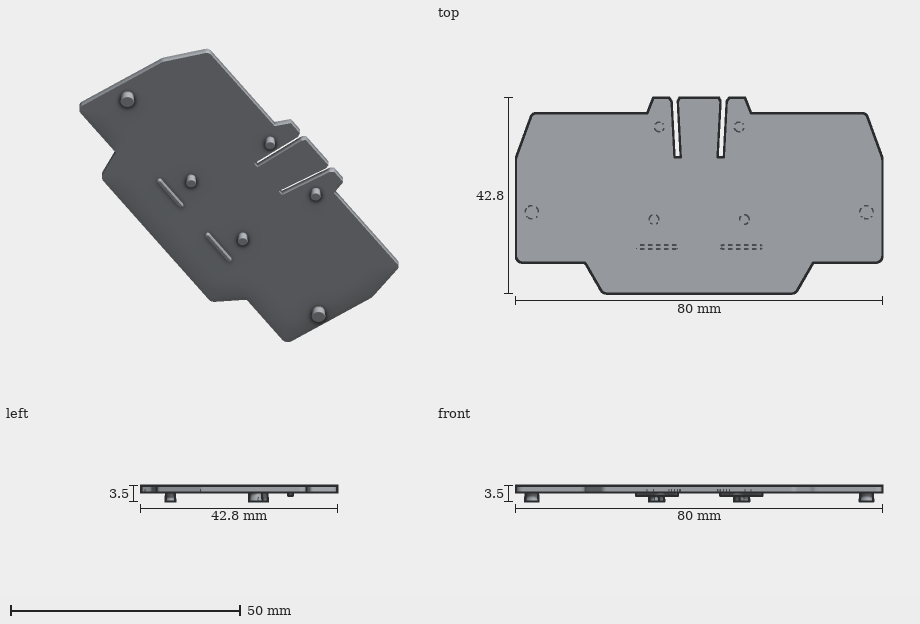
import cadquery as cq
import math

LENGTH = 80.0
HEIGHT = 42.8
THICKNESS = 1.5
HALF_LENGTH = LENGTH / 2

SHOULDER_Y = 39.4
BEVEL_START_Y = 29.6
BEVEL_ANGLE = 20.0
BEVEL_TOP_X = HALF_LENGTH - (SHOULDER_Y - BEVEL_START_Y) * math.tan(math.radians(BEVEL_ANGLE))
BEVEL_TOP_RADIUS = 1.2
BEVEL_START_RADIUS = 2.0

FOOT_HEIGHT = 6.75
FOOT_HALF_WIDTH = 21.0
FOOT_ANGLE = 30.0
FOOT_ROOT_X = FOOT_HALF_WIDTH + FOOT_HEIGHT * math.tan(math.radians(FOOT_ANGLE))
FOOT_ROOT_RADIUS = 0.3
LOWER_CORNER_RADIUS = 1.5

TAB_BASE_X = 11.35
TAB_TOP_X = 10.0
SLOT_BOTTOM_Y = 29.8
SLOT_BOTTOM_X = 4.05
SLOT_WIDTH = 1.3
SLOT_ANGLE = 3.0
MOUTH_DEPTH = 0.85
MOUTH_INNER_FLARE = 0.4
MOUTH_OUTER_FLARE = 0.6

PIN_LENGTH = 2.0
NECK_LENGTH = 0.6
HEAD_FLARE = 0.1
PIN_ROUNDING = 0.2
LARGE_PIN_DIAMETER = 3.0
SMALL_PIN_DIAMETER = 2.2
PINS = [
    (36.5, 17.8, LARGE_PIN_DIAMETER),
    (9.85, 16.2, SMALL_PIN_DIAMETER),
    (8.7, 36.4, SMALL_PIN_DIAMETER),
]

RIB_LENGTH = 9.2
RIB_WIDTH = 1.0
RIB_DEPTH = 0.8
RIB_CHAMFER = 0.2
RIB_X = 9.2
RIB_Y = 10.2

SIDES = (-1, 1)


def round_corners(plate, corner_x, corner_y, radius):
    """Round the upright plate edges at (+/-corner_x, corner_y)."""
    reach = 0.05
    for side in SIDES:
        box = cq.selectors.BoxSelector(
            (side * corner_x - reach, corner_y - reach, -reach),
            (side * corner_x + reach, corner_y + reach, THICKNESS + reach),
        )
        plate = plate.edges("|Z").edges(box).fillet(radius)
    return plate


def make_plate():
    right_side = [
        (FOOT_HALF_WIDTH, 0),
        (FOOT_ROOT_X, FOOT_HEIGHT),
        (HALF_LENGTH, FOOT_HEIGHT),
        (HALF_LENGTH, BEVEL_START_Y),
        (BEVEL_TOP_X, SHOULDER_Y),
        (TAB_BASE_X, SHOULDER_Y),
        (TAB_TOP_X, HEIGHT),
    ]
    left_side = [(-x, y) for x, y in reversed(right_side)]
    plate = cq.Workplane("XY").polyline(right_side + left_side).close().extrude(THICKNESS)
    plate = round_corners(plate, FOOT_HALF_WIDTH, 0, LOWER_CORNER_RADIUS)
    plate = round_corners(plate, FOOT_ROOT_X, FOOT_HEIGHT, FOOT_ROOT_RADIUS)
    plate = round_corners(plate, HALF_LENGTH, FOOT_HEIGHT, LOWER_CORNER_RADIUS)
    plate = round_corners(plate, HALF_LENGTH, BEVEL_START_Y, BEVEL_START_RADIUS)
    return round_corners(plate, BEVEL_TOP_X, SHOULDER_Y, BEVEL_TOP_RADIUS)


def make_slot(side):
    """Leaning slot with a flared mouth at the upper edge."""
    mouth_y = HEIGHT - MOUTH_DEPTH
    lean = (mouth_y - SLOT_BOTTOM_Y) * math.tan(math.radians(SLOT_ANGLE))
    inner_x = SLOT_BOTTOM_X + lean
    outer_x = inner_x + SLOT_WIDTH
    outline = [
        (SLOT_BOTTOM_X, SLOT_BOTTOM_Y),
        (SLOT_BOTTOM_X + SLOT_WIDTH, SLOT_BOTTOM_Y),
        (outer_x, mouth_y),
        (outer_x + MOUTH_OUTER_FLARE, HEIGHT),
        (inner_x - MOUTH_INNER_FLARE, HEIGHT),
        (inner_x, mouth_y),
    ]
    points = [(side * x, y) for x, y in outline]
    return cq.Workplane("XY").polyline(points).close().extrude(THICKNESS)


def make_pin(x, y, diameter):
    head_radius = diameter / 2
    neck_radius = head_radius - HEAD_FLARE
    rounding_top = PIN_ROUNDING - PIN_LENGTH
    profile = (
        cq.Workplane("XZ")
        .lineTo(neck_radius, 0)
        .lineTo(neck_radius, -NECK_LENGTH)
        .lineTo(head_radius, rounding_top)
        .radiusArc((head_radius - PIN_ROUNDING, -PIN_LENGTH), PIN_ROUNDING)
        .lineTo(0, -PIN_LENGTH)
        .close()
    )
    return profile.revolve(360, (0, 0), (0, 1)).translate((x, y, 0))


def make_rib(x, y):
    rib = cq.Workplane("XY").center(x, y).slot2D(RIB_LENGTH, RIB_WIDTH).extrude(-RIB_DEPTH)
    return rib.faces("<Z").chamfer(RIB_CHAMFER)


result = make_plate()
for side in SIDES:
    result = result.cut(make_slot(side))
    result = result.union(make_rib(side * RIB_X, RIB_Y))
    for pin_x, pin_y, pin_diameter in PINS:
        result = result.union(make_pin(side * pin_x, pin_y, pin_diameter))